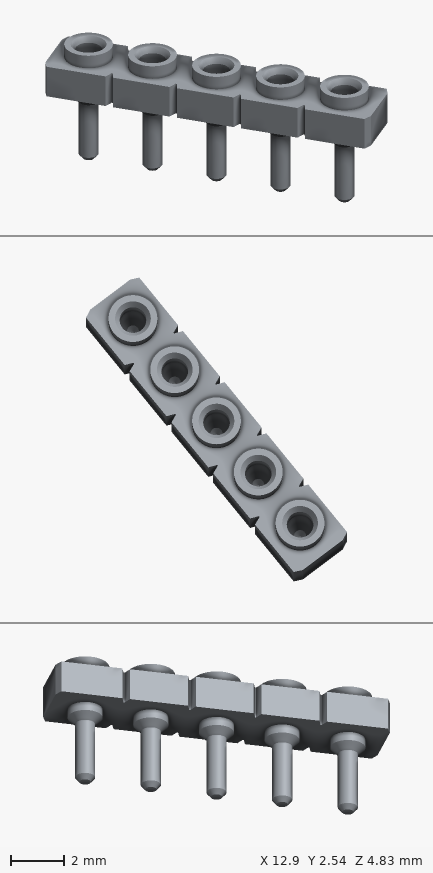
import cadquery as cq

pin_count = 5
pitch = 2.54

housing_length = 12.93
housing_width = 2.54
housing_height = 1.26
notch_depth = 0.32
notch_half_width = 0.15
notch_floor_half_width = 0.02

head_diameter = 1.83
head_height = 0.53
collar_diameter = 1.32
collar_drop = 0.34
shoulder_height = 0.27
tail_diameter = 0.76
tip_diameter = 0.43
tip_height = 0.19
overall_height = 4.83

mouth_diameter = 1.34
bore_diameter = 1.0
mouth_depth = 0.21
bore_depth = 0.72
throat_diameter = 0.45
throat_depth = 1.7
drill_tip_diameter = 0.06
drill_point_depth = 0.14

head_top = housing_height + head_height
pin_bottom = head_top - overall_height
tip_top = pin_bottom + tip_height
collar_bottom = -collar_drop
shoulder_bottom = collar_bottom - shoulder_height
mouth_bottom = head_top - mouth_depth
bore_bottom = head_top - bore_depth
throat_top = head_top - throat_depth
socket_bottom = throat_top - drill_point_depth

pin_positions = [(i - (pin_count - 1) / 2) * pitch for i in range(pin_count)]
notch_positions = [x + pitch / 2 for x in pin_positions[:-1]]


def make_notch(x, side):
    """Narrow-floored V break notch cut into one long side (side is +1 or -1)."""
    edge = side * housing_width / 2
    return (
        cq.Workplane("XY")
        .moveTo(x - notch_half_width, edge)
        .lineTo(x + notch_half_width, edge)
        .lineTo(x + notch_floor_half_width, edge - side * notch_depth)
        .lineTo(x - notch_floor_half_width, edge - side * notch_depth)
        .close()
        .extrude(housing_height)
    )


def make_end_corner(end, side):
    """Corner cut at one end of the row, as wide and deep as half a notch."""
    x = end * housing_length / 2
    edge = side * housing_width / 2
    return (
        cq.Workplane("XY")
        .moveTo(x, edge)
        .lineTo(x - end * notch_half_width, edge)
        .lineTo(x, edge - side * notch_depth)
        .close()
        .extrude(housing_height)
    )


def make_housing():
    """Bar with break notches and one through hole per pin."""
    body = cq.Workplane("XY").box(
        housing_length, housing_width, housing_height, centered=(True, True, False)
    )
    for side in (-1, 1):
        for x in notch_positions:
            body = body.cut(make_notch(x, side))
        for end in (-1, 1):
            body = body.cut(make_end_corner(end, side))
    holes = (
        cq.Workplane("XY")
        .pushPoints([(x, 0) for x in pin_positions])
        .circle(collar_diameter / 2)
        .extrude(housing_height)
    )
    return body.cut(holes)


def make_pin(x):
    """Turned contact pin, revolved from its half section about its own axis."""
    half_section = [
        (0, pin_bottom),
        (tip_diameter / 2, pin_bottom),
        (tail_diameter / 2, tip_top),
        (tail_diameter / 2, shoulder_bottom),
        (collar_diameter / 2, collar_bottom),
        (collar_diameter / 2, housing_height),
        (head_diameter / 2, housing_height),
        (head_diameter / 2, head_top),
        (mouth_diameter / 2, head_top),
        (bore_diameter / 2, mouth_bottom),
        (bore_diameter / 2, bore_bottom),
        (throat_diameter / 2, throat_top),
        (drill_tip_diameter / 2, socket_bottom),
        (0, socket_bottom),
    ]
    return (
        cq.Workplane("XZ")
        .polyline(half_section)
        .close()
        .revolve(360, (0, 0, 0), (0, 1, 0))
        .translate((x, 0, 0))
    )


housing = make_housing()
pins = [make_pin(x) for x in pin_positions]

result = cq.Compound.makeCompound([housing.val(), *[pin.val() for pin in pins]])